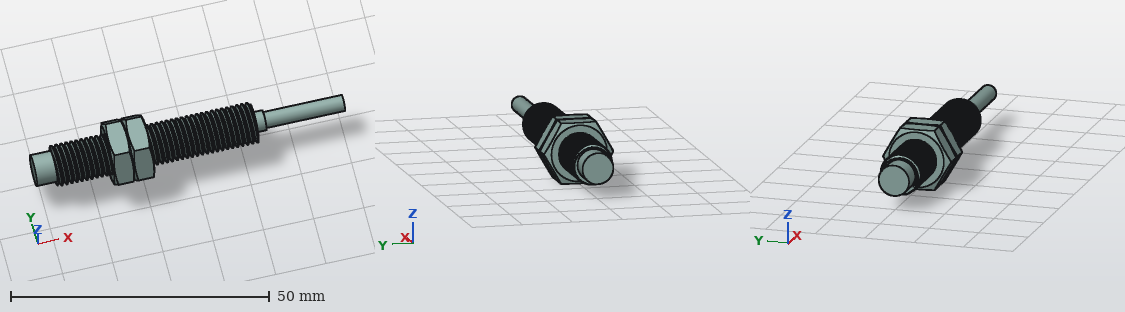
import cadquery as cq
import math

TOTAL_LENGTH = 61.7
NOSE_LENGTH = 4.0
BARREL_LENGTH = 40.0
COLLAR_LENGTH = 2.0

NOSE_DIAMETER = 6.2
CABLE_DIAMETER = 3.2
COLLAR_DIAMETER = 4.0

THREAD_TURNS = 40
SECTION_TURNS = 5
THREAD_DIAMETER = 8
THREAD_CORE_DIAMETER = 6.8
CREST_WIDTH = 0.1
FLANK_ANGLE = 30
FLANK_STEPS = 8

NUT_START = 14.75
NUT_COUNT = 2
NUT_THICKNESS = 4.0
NUT_ACROSS_CORNERS = 13.9
NUT_FACE_DIAMETER = 11.1
NUT_CHAMFER_DEPTH = 0.5

BARREL_END = NOSE_LENGTH + BARREL_LENGTH
PITCH = BARREL_LENGTH / THREAD_TURNS
THREAD_RADIUS = THREAD_DIAMETER / 2
CORE_RADIUS = THREAD_CORE_DIAMETER / 2
NUT_CORNER_RADIUS = NUT_ACROSS_CORNERS / 2


def cylinder(start, end, diameter):
    """Solid cylinder on the X axis between two X positions."""
    return cq.Workplane("YZ", origin=(start, 0, 0)).circle(diameter / 2).extrude(end - start)


def polar_point(radius, angle):
    """Point at a radius and an angle in degrees."""
    return (radius * math.cos(math.radians(angle)), radius * math.sin(math.radians(angle)))


def flank(start_radius, start_angle, end_radius, end_angle):
    """Points after the first on a spiral whose radius grows evenly with angle."""
    steps = [step / FLANK_STEPS for step in range(1, FLANK_STEPS + 1)]
    return [
        polar_point(
            start_radius + (end_radius - start_radius) * step,
            start_angle + (end_angle - start_angle) * step,
        )
        for step in steps
    ]


def make_thread_section():
    """Right-handed threaded section: the cross-section of the thread, twisted along X."""
    half_crest = CREST_WIDTH / 2
    half_base = half_crest + (THREAD_RADIUS - CORE_RADIUS) * math.tan(math.radians(FLANK_ANGLE))
    crest_angle = 360 * half_crest / PITCH
    base_angle = 360 * half_base / PITCH
    section = (
        cq.Workplane("XY")
        .moveTo(*polar_point(THREAD_RADIUS, -crest_angle))
        .threePointArc(polar_point(THREAD_RADIUS, 0), polar_point(THREAD_RADIUS, crest_angle))
        .spline(flank(THREAD_RADIUS, crest_angle, CORE_RADIUS, base_angle), includeCurrent=True)
        .threePointArc(polar_point(CORE_RADIUS, 180), polar_point(CORE_RADIUS, -base_angle))
        .spline(flank(CORE_RADIUS, -base_angle, THREAD_RADIUS, -crest_angle), includeCurrent=True)
        .close()
        .twistExtrude(SECTION_TURNS * PITCH, 360 * SECTION_TURNS)
    )
    return section.rotate((0, 0, 0), (0, 1, 0), 90).translate((NOSE_LENGTH, 0, 0))


def make_shoulder(barrel_end_face, x, inner_diameter):
    """Flat ring at a barrel end, from the thread outline in to the smaller diameter."""
    inner_edge = cq.Wire.makeCircle(inner_diameter / 2, cq.Vector(x, 0, 0), cq.Vector(1, 0, 0))
    return cq.Face.makeFromWires(barrel_end_face.outerWire(), [inner_edge])


def make_sensor():
    """Nose, threaded barrel, cable collar and cable as one solid, closed from its outer faces."""
    collar_end = BARREL_END + COLLAR_LENGTH
    nose = cylinder(0, NOSE_LENGTH, NOSE_DIAMETER)
    collar_and_cable = cylinder(BARREL_END, collar_end, COLLAR_DIAMETER).union(
        cylinder(collar_end, TOTAL_LENGTH, CABLE_DIAMETER)
    )

    section_length = SECTION_TURNS * PITCH
    sections = [
        make_thread_section().translate((index * section_length, 0, 0))
        for index in range(THREAD_TURNS // SECTION_TURNS)
    ]
    first_face = sections[0].faces("<X").val()
    last_face = sections[-1].faces(">X").val()

    faces = nose.faces("not >X").vals() + collar_and_cable.faces("not <X").vals()
    for section in sections:
        faces += section.faces("not(<X or >X)").vals()
    faces.append(make_shoulder(first_face, NOSE_LENGTH, NOSE_DIAMETER))
    faces.append(make_shoulder(last_face, BARREL_END, COLLAR_DIAMETER))
    return cq.Solid.makeSolid(cq.Shell.makeShell(faces))


def make_nut(start):
    """Hexagonal nut with corners on the Y axis and both ends chamfered by a cone."""
    hexagon = (
        cq.Workplane("YZ", origin=(start, 0, 0))
        .polygon(6, NUT_ACROSS_CORNERS)
        .extrude(NUT_THICKNESS)
    )
    face_radius = NUT_FACE_DIAMETER / 2
    end = start + NUT_THICKNESS
    chamfer_envelope = (
        cq.Workplane("XY")
        .polyline([
            (start, 0),
            (start, face_radius),
            (start + NUT_CHAMFER_DEPTH, NUT_CORNER_RADIUS),
            (end - NUT_CHAMFER_DEPTH, NUT_CORNER_RADIUS),
            (end, face_radius),
            (end, 0),
        ])
        .close()
        .revolve(360, (0, 0, 0), (1, 0, 0))
    )
    return hexagon.intersect(chamfer_envelope)


def make_nut_pair():
    """Two nuts joined face to face, with a plain bore that fits over the thread crests."""
    nuts = make_nut(NUT_START)
    for index in range(1, NUT_COUNT):
        nuts = nuts.union(make_nut(NUT_START + index * NUT_THICKNESS))
    pair_end = NUT_START + NUT_COUNT * NUT_THICKNESS
    return nuts.cut(cylinder(NUT_START, pair_end, THREAD_DIAMETER))


sensor = make_sensor()
nut_pair = make_nut_pair()

result = cq.Compound.makeCompound([sensor, nut_pair.val()])